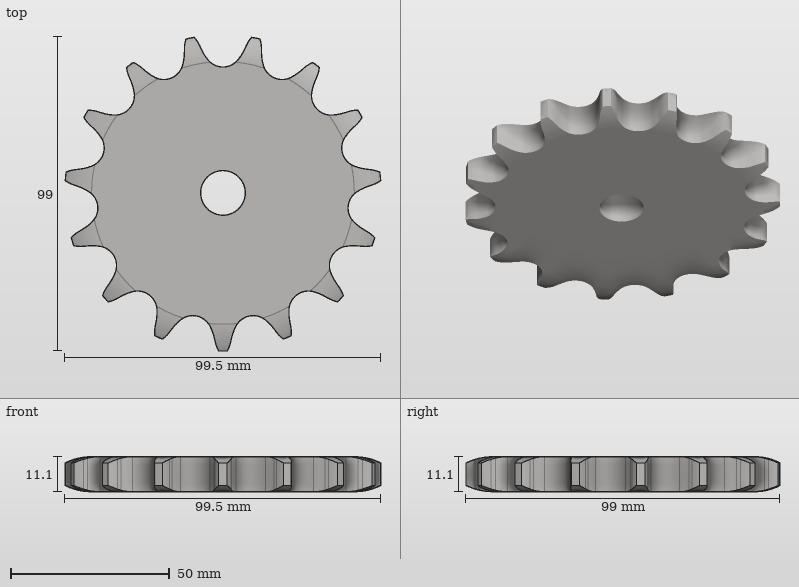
import cadquery as cq
import math

CHAIN_PITCH = 19.05
ROLLER_DIAMETER = 12.07
TOOTH_COUNT = 15
THICKNESS = 11.1
OUTSIDE_DIAMETER = 99.8
BORE_DIAMETER = 14.0

SIDE_ROUND_RADIUS = 19.0
SIDE_ROUND_DEPTH = 2.0

SEATING_FACTOR = 1.005
SEATING_CLEARANCE = 0.076
FLANK_CENTRE_FACTOR = 0.8
TOPPING_CENTRE_FACTOR = 1.4
SEATING_ANGLE = 35 + 60 / TOOTH_COUNT
FLANK_ANGLE = 18 - 56 / TOOTH_COUNT

TOOTH_ANGLE = 360 / TOOTH_COUNT
HALF_TOOTH_ANGLE = TOOTH_ANGLE / 2
PITCH_RADIUS = CHAIN_PITCH / 2 / math.sin(math.radians(HALF_TOOTH_ANGLE))
OUTSIDE_RADIUS = OUTSIDE_DIAMETER / 2
SEATING_RADIUS = (SEATING_FACTOR * ROLLER_DIAMETER + SEATING_CLEARANCE) / 2
FLANK_RADIUS = SEATING_RADIUS + FLANK_CENTRE_FACTOR * ROLLER_DIAMETER
CUT_CLEARANCE = 5.0


def polar(radius, angle, centre=(0, 0)):
    """Point at a distance and direction from a centre."""
    turn = math.radians(angle)
    return (centre[0] + radius * math.cos(turn), centre[1] + radius * math.sin(turn))


def mirrored(point):
    """Point on the other side of the gap's centre line, the Y axis."""
    return (-point[0], point[1])


def tooth_tip(centre, radius):
    """Outer point where the topping arc, on the right of its centre, meets the outside circle."""
    distance = math.hypot(*centre)
    along = (OUTSIDE_RADIUS**2 + distance**2 - radius**2) / (2 * distance * OUTSIDE_RADIUS)
    direction = math.degrees(math.atan2(centre[1], centre[0]))
    return polar(OUTSIDE_RADIUS, direction - math.degrees(math.acos(along)))


def gap_cutter():
    """Space between two teeth, symmetric about the +Y axis and open past the outside circle."""
    seat_centre = (0, PITCH_RADIUS)
    flank_centre = polar(FLANK_CENTRE_FACTOR * ROLLER_DIAMETER, SEATING_ANGLE, seat_centre)
    topping_centre = polar(TOPPING_CENTRE_FACTOR * ROLLER_DIAMETER, 180 + HALF_TOOTH_ANGLE, seat_centre)

    normal_angle = SEATING_ANGLE - FLANK_ANGLE
    seat_end = polar(SEATING_RADIUS, 180 + SEATING_ANGLE, seat_centre)
    flank_middle = polar(FLANK_RADIUS, 180 + SEATING_ANGLE - FLANK_ANGLE / 2, flank_centre)
    flank_end = polar(FLANK_RADIUS, 180 + normal_angle, flank_centre)
    normal = polar(1, normal_angle)
    topping_radius = sum(n * (f - c) for n, f, c in zip(normal, flank_end, topping_centre))
    topping_start = polar(topping_radius, normal_angle, topping_centre)
    tip = tooth_tip(topping_centre, topping_radius)
    tip_angle = math.degrees(math.atan2(tip[1] - topping_centre[1], tip[0] - topping_centre[0]))
    topping_middle = polar(topping_radius, (normal_angle + tip_angle) / 2, topping_centre)

    above_tips = (tip[0], OUTSIDE_RADIUS + CUT_CLEARANCE)
    seat_bottom = (0, PITCH_RADIUS - SEATING_RADIUS)
    return (
        cq.Workplane("XY")
        .workplane(offset=-THICKNESS / 2)
        .moveTo(*above_tips)
        .lineTo(*tip)
        .threePointArc(topping_middle, topping_start)
        .lineTo(*flank_end)
        .threePointArc(flank_middle, seat_end)
        .threePointArc(seat_bottom, mirrored(seat_end))
        .threePointArc(mirrored(flank_middle), mirrored(flank_end))
        .lineTo(*mirrored(topping_start))
        .threePointArc(mirrored(topping_middle), mirrored(tip))
        .lineTo(*mirrored(above_tips))
        .close()
        .extrude(THICKNESS)
    )


def blank():
    """Bored disc with both rims rounded, revolved about the Z axis."""
    half_thickness = THICKNESS / 2
    rim_height = half_thickness - SIDE_ROUND_DEPTH
    round_width = math.sqrt(SIDE_ROUND_RADIUS**2 - (SIDE_ROUND_RADIUS - SIDE_ROUND_DEPTH) ** 2)
    face_radius = OUTSIDE_RADIUS - round_width
    bore_radius = BORE_DIAMETER / 2

    half_sweep = math.degrees(math.asin(round_width / SIDE_ROUND_RADIUS)) / 2
    round_centre = (face_radius, half_thickness - SIDE_ROUND_RADIUS)
    middle_radius, middle_height = polar(SIDE_ROUND_RADIUS, 90 - half_sweep, round_centre)

    return (
        cq.Workplane("XZ")
        .moveTo(bore_radius, -half_thickness)
        .lineTo(face_radius, -half_thickness)
        .threePointArc((middle_radius, -middle_height), (OUTSIDE_RADIUS, -rim_height))
        .lineTo(OUTSIDE_RADIUS, rim_height)
        .threePointArc((middle_radius, middle_height), (face_radius, half_thickness))
        .lineTo(bore_radius, half_thickness)
        .close()
        .revolve(360, (0, 0, 0), (0, 1, 0))
    )


def sprocket():
    """Blank with the tooth gaps cut around it."""
    body = blank()
    gap = gap_cutter()
    for index in range(TOOTH_COUNT):
        body = body.cut(gap.rotate((0, 0, 0), (0, 0, 1), index * TOOTH_ANGLE))
    return body


result = sprocket()